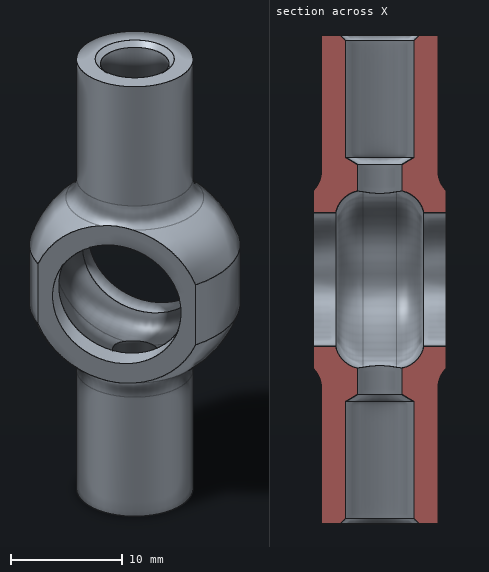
import cadquery as cq
import math

length = 44.0
width = 12.0
ball_radius = 10.0
waist_diameter = 19.0

stem_radius = 10.5 / 2
neck_fillet = 2.5

eye_diameter = 12.0
groove_diameter = 16.0
groove_floor_width = 3.0
groove_corner_radius = 2.5
passage_diameter = 4.0
socket_diameter = 6.15
socket_depth = 11.0
socket_mouth_diameter = 7.15
drill_tip_angle = 118.0


def make_body():
    """Ball and stems, revolved about Z, with the neck arcs tangent to both."""
    half = length / 2
    arc_center_x = stem_radius + neck_fillet
    center_distance = ball_radius + neck_fillet
    arc_center_z = math.sqrt(center_distance**2 - arc_center_x**2)
    ball_share = ball_radius / center_distance
    touch_x = arc_center_x * ball_share
    touch_z = arc_center_z * ball_share
    mid_angle = math.atan2(arc_center_z, arc_center_x) / 2
    mid_x = arc_center_x - neck_fillet * math.cos(mid_angle)
    mid_z = arc_center_z - neck_fillet * math.sin(mid_angle)
    profile = (
        cq.Workplane("XZ")
        .moveTo(0, -half)
        .lineTo(stem_radius, -half)
        .lineTo(stem_radius, -arc_center_z)
        .threePointArc((mid_x, -mid_z), (touch_x, -touch_z))
        .threePointArc((ball_radius, 0), (touch_x, touch_z))
        .threePointArc((mid_x, mid_z), (stem_radius, arc_center_z))
        .lineTo(stem_radius, half)
        .lineTo(0, half)
        .close()
    )
    body = profile.revolve(360, (0, 0, 0), (0, 1, 0))
    envelope = cq.Workplane("XY").circle(waist_diameter / 2).extrude(half, both=True)
    slab = cq.Workplane("XY").box(waist_diameter, width, length)
    return body.intersect(envelope).intersect(slab)


def make_eye():
    """Cross bore along Y with a groove at mid width whose sides curve tangentially into its floor."""
    bore_radius = eye_diameter / 2
    groove_radius = groove_diameter / 2
    floor_half = groove_floor_width / 2
    arc_center_radius = groove_radius - groove_corner_radius
    arc_angle = math.acos((bore_radius - arc_center_radius) / groove_corner_radius)
    mouth_half = floor_half + groove_corner_radius * math.sin(arc_angle)
    mid_radius = arc_center_radius + groove_corner_radius * math.cos(arc_angle / 2)
    mid_half = floor_half + groove_corner_radius * math.sin(arc_angle / 2)
    profile = (
        cq.Workplane("XY")
        .moveTo(0, -width / 2)
        .lineTo(bore_radius, -width / 2)
        .lineTo(bore_radius, -mouth_half)
        .threePointArc((mid_radius, -mid_half), (groove_radius, -floor_half))
        .lineTo(groove_radius, floor_half)
        .threePointArc((mid_radius, mid_half), (bore_radius, mouth_half))
        .lineTo(bore_radius, width / 2)
        .lineTo(0, width / 2)
        .close()
    )
    return profile.revolve(360, (0, 0, 0), (0, 1, 0))


def make_stem_bore():
    """Bore of the upper stem: chamfered socket, conical bottom and passage to the eye."""
    half = length / 2
    mouth_radius = socket_mouth_diameter / 2
    socket_radius = socket_diameter / 2
    passage_radius = passage_diameter / 2
    socket_floor = half - socket_depth
    mouth_chamfer = mouth_radius - socket_radius
    cone_height = (socket_radius - passage_radius) / math.tan(math.radians(drill_tip_angle / 2))
    profile = (
        cq.Workplane("XZ")
        .lineTo(passage_radius, 0)
        .lineTo(passage_radius, socket_floor - cone_height)
        .lineTo(socket_radius, socket_floor)
        .lineTo(socket_radius, half - mouth_chamfer)
        .lineTo(mouth_radius, half)
        .lineTo(0, half)
        .close()
    )
    return profile.revolve(360, (0, 0, 0), (0, 1, 0))


upper_bore = make_stem_bore()
lower_bore = upper_bore.mirror("XY")
result = make_body().cut(make_eye()).cut(upper_bore).cut(lower_bore)